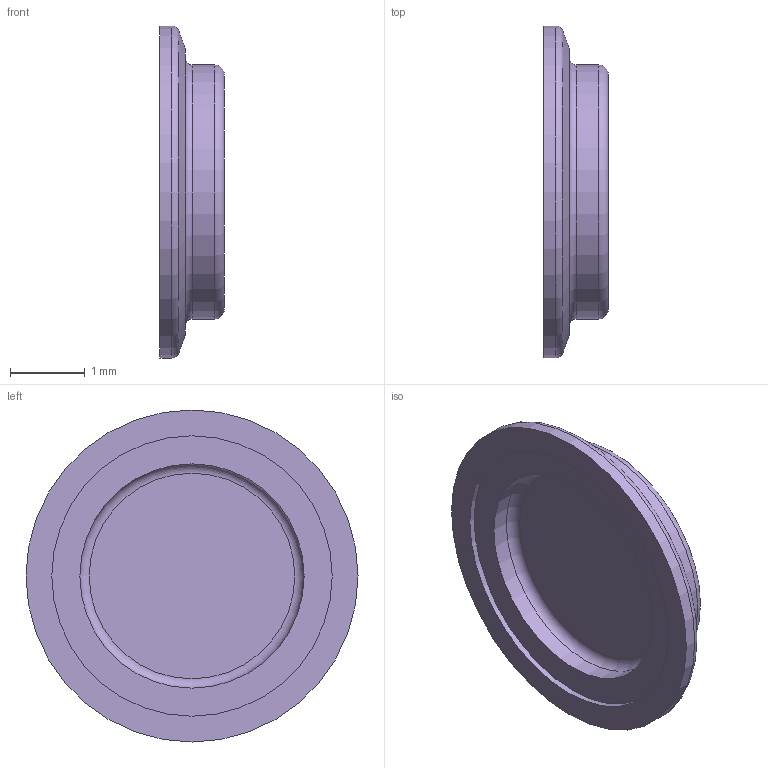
import cadquery as cq
import math

length = 0.86

flange_radius = 2.22
flange_rim_width = 0.16
flange_round = 0.10
flange_cone_angle = 20.0
flange_thickness = 0.34

plug_radius = 1.70
plug_root_fillet = 0.09
plug_end_round = 0.125

root_fillet_mid_angle = 225.0
end_round_mid_angle = 45.0

shallow_radius = 1.875
shallow_depth = 0.08
pocket_radius = 1.50
pocket_depth = 0.44
pocket_floor_fillet = 0.125


def arc_point(center, radius, angle):
    """Point (x, r) on a circle; the angle in degrees is measured from +X."""
    return (
        center[0] + radius * math.cos(math.radians(angle)),
        center[1] + radius * math.sin(math.radians(angle)),
    )


def make_body():
    """Solid flange and plug, revolved from a half profile in the XY plane."""
    rim_center = (flange_rim_width, flange_radius - flange_round)
    rim_mid = arc_point(rim_center, flange_round, (90 + flange_cone_angle) / 2)
    cone_start = arc_point(rim_center, flange_round, flange_cone_angle)
    cone_drop = (flange_thickness - cone_start[0]) / math.tan(math.radians(flange_cone_angle))

    root_center = (flange_thickness + plug_root_fillet, plug_radius + plug_root_fillet)
    root_mid = arc_point(root_center, plug_root_fillet, root_fillet_mid_angle)
    end_center = (length - plug_end_round, plug_radius - plug_end_round)
    end_mid = arc_point(end_center, plug_end_round, end_round_mid_angle)

    profile = (
        cq.Workplane("XY")
        .lineTo(0, flange_radius)
        .lineTo(flange_rim_width, flange_radius)
        .threePointArc(rim_mid, cone_start)
        .lineTo(flange_thickness, cone_start[1] - cone_drop)
        .lineTo(flange_thickness, root_center[1])
        .threePointArc(root_mid, (root_center[0], plug_radius))
        .lineTo(end_center[0], plug_radius)
        .threePointArc(end_mid, (length, end_center[1]))
        .lineTo(length, 0)
        .close()
    )
    return profile.revolve(360, (0, 0, 0), (1, 0, 0))


def make_recess():
    """Shallow counterbore and the deeper pocket with a filleted floor."""
    shallow = cq.Workplane("YZ").circle(shallow_radius).extrude(shallow_depth)
    pocket = (
        cq.Workplane("YZ")
        .circle(pocket_radius)
        .extrude(pocket_depth)
        .faces(">X")
        .edges()
        .fillet(pocket_floor_fillet)
    )
    return shallow.union(pocket)


result = make_body().cut(make_recess())